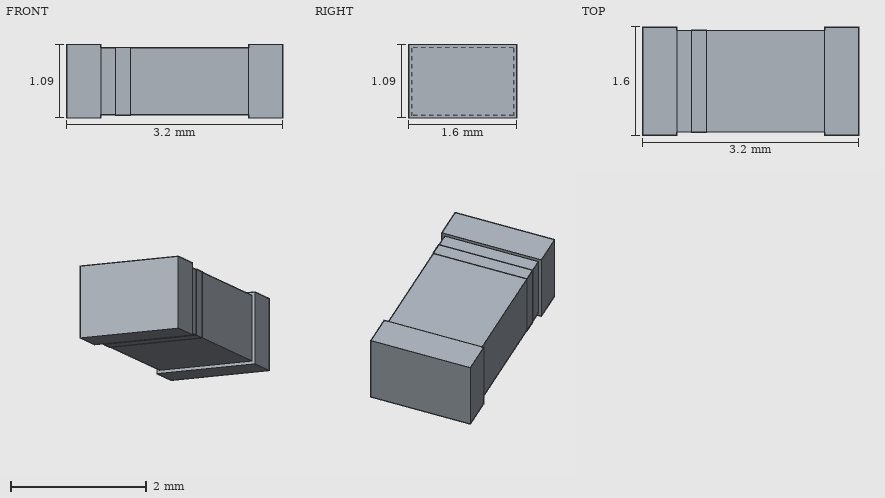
import cadquery as cq

LENGTH = 3.2
CAP_WIDTH = 1.6
CAP_HEIGHT = 1.09
CAP_LENGTH = 0.51

CAP_STEP = 0.048
CORE_LENGTH = LENGTH - 2 * CAP_LENGTH
CORE_WIDTH = CAP_WIDTH - 2 * CAP_STEP
CORE_HEIGHT = CAP_HEIGHT - 2 * CAP_STEP

BAND_LENGTH = 0.218
BAND_THICKNESS = 0.005
BAND_GAP = 0.218
BAND_X = -CORE_LENGTH / 2 + BAND_GAP + BAND_LENGTH / 2


def make_core():
    """Plain block between the two end caps."""
    return cq.Workplane("XY").box(CORE_LENGTH, CORE_WIDTH, CORE_HEIGHT)


def make_end_cap(side):
    """Solid terminal block; side is -1 for the -X end and +1 for the +X end."""
    center_x = side * (LENGTH - CAP_LENGTH) / 2
    return cq.Workplane("XY").box(CAP_LENGTH, CAP_WIDTH, CAP_HEIGHT).translate((center_x, 0, 0))


def make_band():
    """Closed rectangular ring that fits tightly around the core."""
    outer_width = CORE_WIDTH + 2 * BAND_THICKNESS
    outer_height = CORE_HEIGHT + 2 * BAND_THICKNESS
    outer = cq.Workplane("XY").box(BAND_LENGTH, outer_width, outer_height)
    opening = cq.Workplane("XY").box(BAND_LENGTH, CORE_WIDTH, CORE_HEIGHT)
    return outer.cut(opening).translate((BAND_X, 0, 0))


core = make_core()
end_caps = [make_end_cap(side) for side in (-1, 1)]
band = make_band()

result = cq.Compound.makeCompound([core.val(), *[cap.val() for cap in end_caps], band.val()])